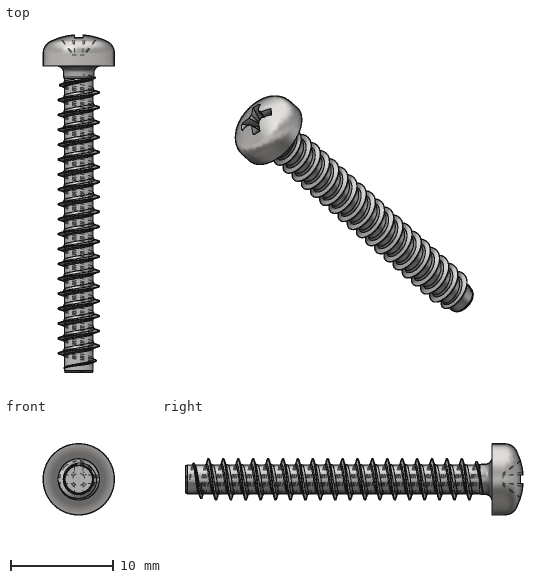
import cadquery as cq
import math


head_radius = 3.5
head_crown = 3.09
dome_radius = 6.1
head_edge_radius = 1.3
seat_edge_radius = 0.08

recess_width = 0.83
recess_reach = 2.05
recess_core_radius = 0.85
recess_floor_reach = 0.6
recess_floor_radius = 0.45
recess_depth = 2.0

screw_length = 30.0
neck_radius = 1.5
neck_fillet = 0.6
neck_end = -0.98
neck_taper = 0.25
shank_overlap = 0.2
core_radius = 1.42
tip_radius = 1.34
tip_chamfer_length = 0.2
tip_dish_depth = 0.08

thread_pitch = 1.46
thread_radius = 2.02
shoulder_radius = 1.52
root_radius = 1.38
crest_half_width = 0.03
shoulder_half_width = 0.17
root_width_head_side = 0.54
root_width_tip_side = 0.34
thread_top = -0.68
thread_turns = 19.8
run_out_turns = 1.0
run_out_start = 0.1
end_width_share = 0.3
first_angle = -108.0
points_per_turn = 16


def revolve(profile):
    """Turn a half profile drawn in the XY plane about the Y axis."""
    return profile.close().revolve(360, (0, 0, 0), (0, 1, 0))


def make_head():
    wall_top = head_crown - dome_radius + math.sqrt(dome_radius**2 - head_radius**2)
    half_reach = head_radius / 2
    half_height = head_crown - dome_radius + math.sqrt(dome_radius**2 - half_reach**2)
    profile = (
        cq.Workplane("XY")
        .lineTo(head_radius, 0)
        .lineTo(head_radius, wall_top)
        .threePointArc((half_reach, half_height), (0, head_crown))
    )
    rim = cq.selectors.NearestToPointSelector((0, wall_top, 0))
    head = revolve(profile).edges(rim).fillet(head_edge_radius)
    return head.faces("<Y").edges().fillet(seat_edge_radius)


def recess_cone(top_radius, floor_radius):
    """Tapered round volume from the recess floor up to the crown."""
    profile = (
        cq.Workplane("XY")
        .moveTo(0, head_crown - recess_depth)
        .lineTo(floor_radius, head_crown - recess_depth)
        .lineTo(top_radius, head_crown)
        .lineTo(0, head_crown)
    )
    return revolve(profile)


def make_recess():
    """Cross with arms that taper towards the floor, around a tapered round centre."""
    across = 2 * recess_reach
    arms = cq.Workplane("XY").box(across, 2 * head_crown, recess_width)
    arms = arms.union(cq.Workplane("XY").box(recess_width, 2 * head_crown, across))
    arms = arms.intersect(recess_cone(recess_reach, recess_floor_reach))
    return arms.union(recess_cone(recess_core_radius, recess_floor_radius))


def make_shank():
    fillet_mid = neck_fillet * (1 - math.sqrt(0.5))
    dish_radius = (tip_radius**2 + tip_dish_depth**2) / (2 * tip_dish_depth)
    half_reach = tip_radius / 2
    dish_bottom = tip_dish_depth - screw_length
    half_height = dish_bottom - dish_radius + math.sqrt(dish_radius**2 - half_reach**2)
    profile = (
        cq.Workplane("XY")
        .moveTo(0, dish_bottom)
        .threePointArc((half_reach, half_height), (tip_radius, -screw_length))
        .lineTo(core_radius, tip_chamfer_length - screw_length)
        .lineTo(core_radius, neck_end - neck_taper)
        .lineTo(neck_radius, neck_end)
        .lineTo(neck_radius, -neck_fillet)
        .threePointArc((neck_radius + fillet_mid, -fillet_mid), (neck_radius + neck_fillet, 0))
        .lineTo(neck_radius + neck_fillet, shank_overlap)
        .lineTo(0, shank_overlap)
    )
    return revolve(profile)


def run_out_share(turn):
    """Share of the full thread height, measured from the buried root, at a given turn."""
    nearest_end = min(turn, thread_turns - turn)
    return min(1.0, run_out_start + (1 - run_out_start) * nearest_end / run_out_turns)


def thread_line(full_radius, offset, first_turn, last_turn):
    """Helix-like edge through one corner of the thread section."""
    steps = math.ceil((last_turn - first_turn) * points_per_turn)
    points = []
    for step in range(steps + 1):
        turn = first_turn + (last_turn - first_turn) * step / steps
        share = run_out_share(turn)
        radius = root_radius + (full_radius - root_radius) * share
        angle = math.radians(first_angle) + 2 * math.pi * turn
        width_share = end_width_share + (1 - end_width_share) * share
        height = thread_top - thread_pitch * turn + offset * width_share
        points.append(cq.Vector(radius * math.cos(angle), height, radius * math.sin(angle)))
    return cq.Edge.makeSpline(points)


def make_thread():
    section = [
        (root_radius, root_width_head_side),
        (shoulder_radius, shoulder_half_width),
        (thread_radius, crest_half_width),
        (thread_radius, -crest_half_width),
        (shoulder_radius, -shoulder_half_width),
        (root_radius, -root_width_tip_side),
    ]
    stretches = [
        (0, run_out_turns),
        (run_out_turns, thread_turns - run_out_turns),
        (thread_turns - run_out_turns, thread_turns),
    ]
    faces = []
    for first_turn, last_turn in stretches:
        lines = [thread_line(radius, offset, first_turn, last_turn) for radius, offset in section]
        for line, next_line in zip(lines, lines[1:] + lines[:1]):
            faces.append(cq.Face.makeRuledSurface(line, next_line))
        if first_turn == 0:
            head_end = [line.startPoint() for line in lines]
        tip_end = [line.endPoint() for line in lines]
    for corners in (head_end, tip_end):
        faces.append(cq.Face.makeFromWires(cq.Wire.makePolygon(corners, close=True)))
    return cq.Workplane(cq.Solid.makeSolid(cq.Shell.makeShell(faces)))


body = make_head().cut(make_recess()).union(make_shank())
result = body.union(make_thread())